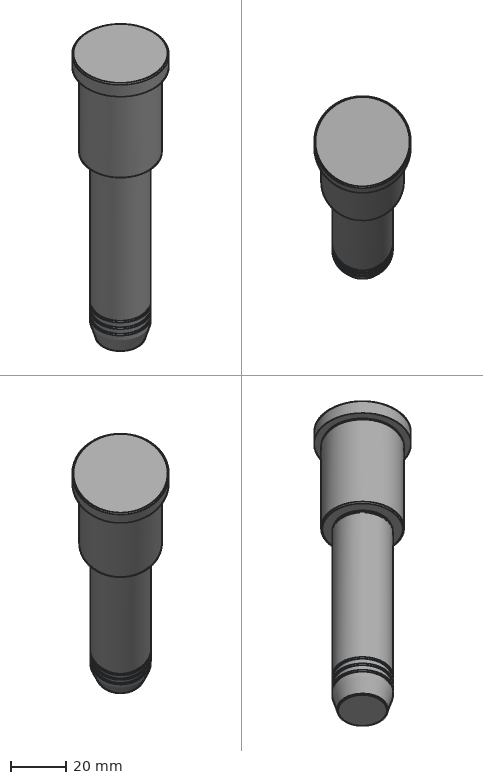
import cadquery as cq
import math

total_length = 131.0
head_radius = 35.0 / 2
sleeve_radius = 30.0 / 2
pin_radius = 22.0 / 2

head_height = 6.0
neck_length = 0.5
sleeve_length = 39.4
nose_height = 7.0

head_chamfer = 0.5
sleeve_chamfer = 0.5
relief_depth = 0.4
relief_height = 1.0

nose_angle = 15.0
tip_chamfer = 0.4

groove_count = 3
groove_pitch = 3.0
groove_width = 0.9
groove_depth = groove_width / 2
lowest_groove_bottom = 9.0

head_bottom = total_length - head_height
sleeve_top = head_bottom - neck_length
sleeve_bottom = sleeve_top - sleeve_length
neck_radius = sleeve_radius - sleeve_chamfer
lowest_groove_middle = lowest_groove_bottom + groove_width / 2
tip_radius = pin_radius - nose_height * math.tan(math.radians(nose_angle))


def cylinder(radius, bottom, top):
    """Solid cylinder on the Z axis between two heights."""
    return cq.Workplane("XY").workplane(offset=bottom).circle(radius).extrude(top - bottom)


def square_ring(bottom, top):
    """Ring that sinks the square relief into the pin between two heights."""
    return cylinder(pin_radius, bottom, top).cut(cylinder(pin_radius - relief_depth, bottom, top))


def vee_ring(middle):
    """Triangular ring that cuts one V-shaped oil groove centred at the given height."""
    profile = [
        (pin_radius - groove_depth, middle),
        (pin_radius, middle + groove_width / 2),
        (pin_radius, middle - groove_width / 2),
    ]
    return cq.Workplane("XZ").polyline(profile).close().revolve(360, (0, 0), (0, 1))


def make_head():
    """Flat head with its top rim chamfered."""
    return cylinder(head_radius, head_bottom, total_length).faces(">Z").chamfer(head_chamfer)


def make_sleeve():
    """Thick shank with both rims chamfered, joined to the head by a short neck."""
    neck = cylinder(neck_radius, sleeve_top, head_bottom)
    sleeve = cylinder(sleeve_radius, sleeve_bottom, sleeve_top)
    return sleeve.faces("<Z or >Z").chamfer(sleeve_chamfer).union(neck)


def make_pin():
    """Thin pin with a tapered nose, oil grooves and a relief groove under the shank."""
    profile = [
        (0, 0),
        (tip_radius - tip_chamfer, 0),
        (tip_radius, tip_chamfer),
        (pin_radius, nose_height),
        (pin_radius, sleeve_bottom),
        (0, sleeve_bottom),
    ]
    pin = cq.Workplane("XZ").polyline(profile).close().revolve(360, (0, 0), (0, 1))
    for index in range(groove_count):
        pin = pin.cut(vee_ring(lowest_groove_middle + index * groove_pitch))
    return pin.cut(square_ring(sleeve_bottom - relief_height, sleeve_bottom))


result = make_head().union(make_sleeve()).union(make_pin())